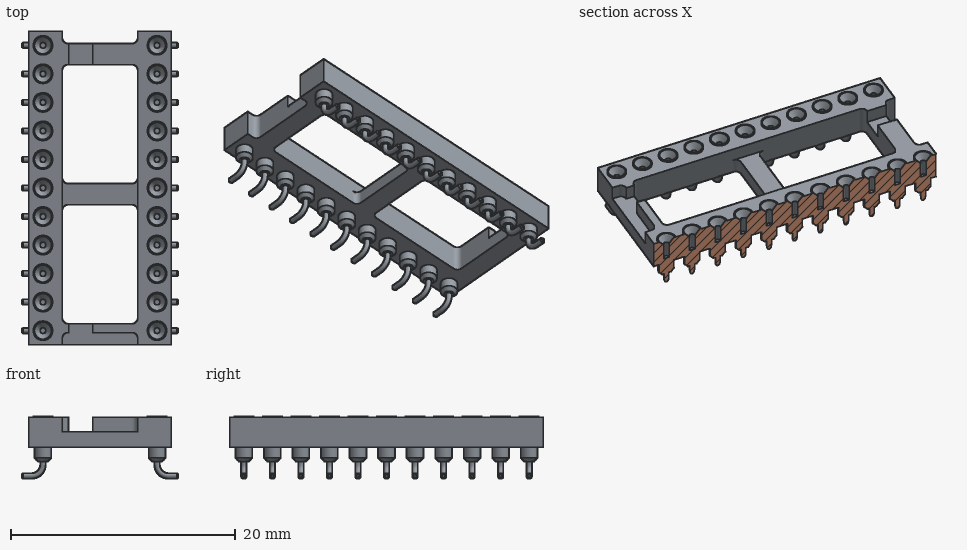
import cadquery as cq

pins_per_row = 11
pitch = 2.54
row_spacing = 10.16

frame_width = 12.7
frame_length = pins_per_row * pitch
frame_height = 2.7
ledge_height = 1.4
opening_width = 6.7
corner_radius = 0.5
bar_width = 1.9
end_recess = 1.1
key_gap_width = 2.15
key_gap_left = -2.8

front_end = -frame_length / 2
back_end = frame_length / 2
front_bar_inner = front_end + bar_width
back_bar_outer = back_end - end_recess
back_bar_inner = back_bar_outer - bar_width
middle_bar_y = (front_bar_inner + back_bar_inner) / 2
middle_bar_front = middle_bar_y - bar_width / 2
middle_bar_back = middle_bar_y + bar_width / 2

collar_diameter = 1.72
collar_height = 0.08
barrel_diameter = 1.52
barrel_length = 0.92
taper_length = 0.35
taper_end_diameter = 0.88
funnel_diameter = 1.52
funnel_depth = 0.6
socket_diameter = 0.51
socket_depth = 2.2

tail_diameter = 0.51
tail_drop = 2.8
bend_radius = 1.01
overall_width = 13.96
tip_chamfer = 0.127

collar_top = frame_height + collar_height
tail_top = -(barrel_length + taper_length)
foot_z = -tail_drop + tail_diameter / 2
bend_top = foot_z + bend_radius
foot_reach = (overall_width - row_spacing) / 2


def block(x_min, x_max, y_min, y_max, z_min, z_max):
    """Axis-aligned box between the given limits."""
    size = (x_max - x_min, y_max - y_min, z_max - z_min)
    return cq.Workplane("XY").box(*size, centered=False).translate((x_min, y_min, z_min))


def central_block(y_min, y_max, z_min, z_max):
    """Block as wide as the opening between the two rails."""
    return block(-opening_width / 2, opening_width / 2, y_min, y_max, z_min, z_max)


def window(y_min, y_max, z_min, z_max):
    """Central opening with four rounded corners."""
    return central_block(y_min, y_max, z_min, z_max).edges("|Z").fillet(corner_radius)


def make_frame():
    frame = cq.Workplane("XY").box(frame_width, frame_length, frame_height, centered=(True, True, False))

    frame = frame.cut(window(front_bar_inner, middle_bar_front, 0, ledge_height))
    frame = frame.cut(window(middle_bar_back, back_bar_inner, 0, ledge_height))
    frame = frame.cut(window(front_bar_inner, back_bar_inner, ledge_height, frame_height))

    front_recess = central_block(front_end, front_end + end_recess, ledge_height, frame_height)
    frame = frame.cut(front_recess.edges("|Z and >Y").fillet(corner_radius))
    back_recess = central_block(back_bar_outer, back_end, 0, frame_height)
    frame = frame.cut(back_recess.edges("|Z and <Y").fillet(corner_radius))

    key_gap_right = key_gap_left + key_gap_width
    for y_min, y_max in ((front_end, front_bar_inner), (back_bar_inner, back_end)):
        frame = frame.cut(block(key_gap_left, key_gap_right, y_min, y_max, ledge_height, frame_height))
    return frame


def make_contact_body():
    """Turned sleeve about the Z axis, without its socket."""
    return (
        cq.Workplane("XZ")
        .moveTo(0, collar_top)
        .lineTo(collar_diameter / 2, collar_top)
        .lineTo(collar_diameter / 2, frame_height)
        .lineTo(barrel_diameter / 2, frame_height)
        .lineTo(barrel_diameter / 2, -barrel_length)
        .lineTo(taper_end_diameter / 2, tail_top)
        .lineTo(0, tail_top)
        .close()
        .revolve(360, (0, 0, 0), (0, 1, 0))
    )


def make_socket():
    """Funnel and blind hole that receive a component lead."""
    return (
        cq.Workplane("XZ")
        .moveTo(0, collar_top)
        .lineTo(funnel_diameter / 2, collar_top)
        .lineTo(socket_diameter / 2, collar_top - funnel_depth)
        .lineTo(socket_diameter / 2, collar_top - socket_depth)
        .lineTo(0, collar_top - socket_depth)
        .close()
        .revolve(360, (0, 0, 0), (0, 1, 0))
    )


def make_tail():
    """Round wire bent outward to -X, with a chamfered tip."""
    stub = cq.Workplane("XY").workplane(offset=bend_top).circle(tail_diameter / 2).extrude(tail_top - bend_top)
    bend = (
        cq.Workplane("XY")
        .workplane(offset=bend_top)
        .circle(tail_diameter / 2)
        .revolve(90, (-bend_radius, 0, 0), (-bend_radius, 1, 0))
    )
    foot = (
        cq.Workplane("YZ", origin=(-bend_radius, 0, foot_z))
        .circle(tail_diameter / 2)
        .extrude(bend_radius - foot_reach)
        .faces("<X")
        .chamfer(tip_chamfer)
    )
    return stub.union(bend).union(foot)


def pin_places():
    """Centre and rotation of each contact; tails point away from the frame."""
    places = []
    for index in range(pins_per_row):
        y = (index - (pins_per_row - 1) / 2) * pitch
        places.append((-row_spacing / 2, y, 0))
        places.append((row_spacing / 2, y, 180))
    return places


def place(shape, x, y, angle):
    return shape.rotate((0, 0, 0), (0, 0, 1), angle).translate((x, y, 0))


contact = make_contact_body().union(make_tail())
socket = make_socket()
result = make_frame()
for x, y, angle in pin_places():
    result = result.union(place(contact, x, y, angle))
    result = result.cut(place(socket, x, y, angle))